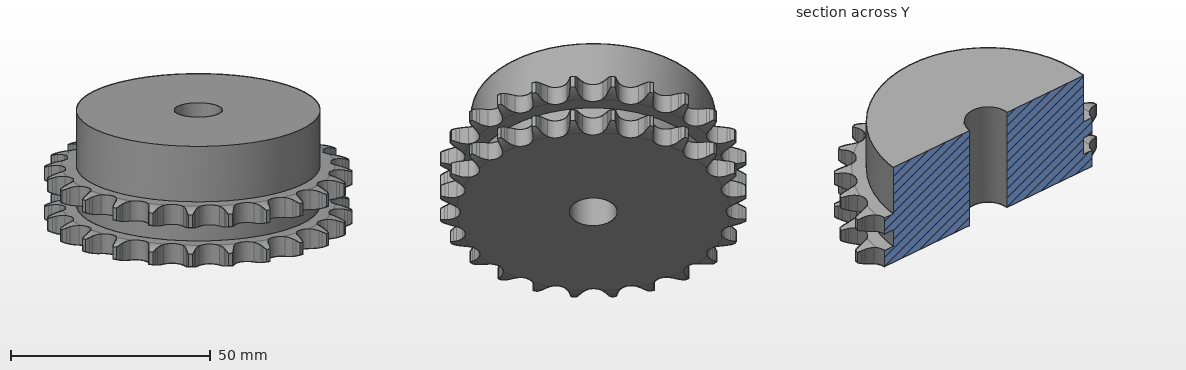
import cadquery as cq
import math


overall_width = 76.5
overall_height = 30.0
hub_diameter = 61.0
bore_diameter = 12.0

tooth_count = 24
pitch_diameter = 72.95
roller_diameter = 6.35
seat_clearance = 0.05

rim_thickness = 5.2
rim_spacing = 10.25
rim_count = 2
side_relief = 1.0
side_relief_radius = 10.0

pitch_radius = pitch_diameter / 2
pitch_angle = 2 * math.pi / tooth_count

seat_radius = roller_diameter / 2 + seat_clearance
working_offset = 0.8 * roller_diameter
topping_offset = 1.4 * roller_diameter
working_radius = seat_radius + working_offset
seat_end_angle = math.radians(35 + 60 / tooth_count)
working_arc_angle = math.radians(18 - 56 / tooth_count)
straight_angle = seat_end_angle - working_arc_angle


def polar(centre, radius, angle):
    """Point at a radius from a centre, at an angle measured counterclockwise from +X."""
    return (centre[0] + radius * math.cos(angle), centre[1] + radius * math.sin(angle))


def direction(start, end):
    """Angle of the line from start to end."""
    return math.atan2(end[1] - start[1], end[0] - start[0])


def rotate(point, angle):
    """Point turned counterclockwise about the sprocket axis."""
    return polar((0, 0), math.hypot(*point), math.atan2(point[1], point[0]) + angle)


def mirror(point):
    """Matching point on the other flank of a gap centred on +X."""
    return (point[0], -point[1])


roller_centre = (pitch_radius, 0)
seat_end_direction = math.pi / 2 + seat_end_angle
working_end_direction = math.pi / 2 + straight_angle
seat_bottom = (pitch_radius - seat_radius, 0)
seat_end = polar(roller_centre, seat_radius, seat_end_direction)

working_centre = polar(roller_centre, -working_offset, seat_end_direction)
working_middle = polar(working_centre, working_radius, (seat_end_direction + working_end_direction) / 2)
working_end = polar(working_centre, working_radius, working_end_direction)

topping_centre = polar(roller_centre, topping_offset, math.pi / 2 + pitch_angle / 2)
topping_distance = math.dist(working_end, topping_centre)
topping_lean = direction(working_end, topping_centre) - working_end_direction
straight_length = -topping_distance * math.sin(topping_lean)
topping_radius = topping_distance * math.cos(topping_lean)
straight_end = polar(working_end, straight_length, working_end_direction - math.pi / 2)

tip_x = overall_width / 2
tip_rise = math.sqrt(topping_radius**2 - (tip_x - topping_centre[0]) ** 2)
tip_corner = (tip_x, topping_centre[1] - tip_rise)
tip_radius = math.hypot(*tip_corner)
topping_middle_direction = (
    direction(topping_centre, straight_end) + direction(topping_centre, tip_corner)
) / 2
topping_middle = polar(topping_centre, topping_radius, topping_middle_direction)
tip_middle = polar((0, 0), tip_radius, pitch_angle / 2)


def add_gap(outline, turn):
    """Extend the outline along one gap and over the next tooth tip, turned about the axis."""
    def turned(point):
        return rotate(point, turn)

    next_tip_corner = rotate(mirror(tip_corner), pitch_angle)
    return (
        outline.threePointArc(turned(mirror(topping_middle)), turned(mirror(straight_end)))
        .lineTo(*turned(mirror(working_end)))
        .threePointArc(turned(mirror(working_middle)), turned(mirror(seat_end)))
        .threePointArc(turned(seat_bottom), turned(seat_end))
        .threePointArc(turned(working_middle), turned(working_end))
        .lineTo(*turned(straight_end))
        .threePointArc(turned(topping_middle), turned(tip_corner))
        .threePointArc(turned(tip_middle), turned(next_tip_corner))
    )


def tooth_outline():
    """Closed outline of all the teeth, drawn gap by gap counterclockwise."""
    outline = cq.Workplane("XY").moveTo(*mirror(tip_corner))
    for gap in range(tooth_count):
        outline = add_gap(outline, gap * pitch_angle)
    return outline.close()


def relieved_blank():
    """Round disc whose sides curve in towards the tooth tips, tangent to its flat faces."""
    relief_sweep = math.acos(1 - side_relief / side_relief_radius)
    relief_start = tip_radius - side_relief_radius * math.sin(relief_sweep)
    lower_centre = (relief_start, side_relief_radius)
    upper_centre = (relief_start, rim_thickness - side_relief_radius)
    lower_middle = polar(lower_centre, side_relief_radius, (relief_sweep - math.pi) / 2)
    upper_middle = polar(upper_centre, side_relief_radius, (math.pi - relief_sweep) / 2)
    return (
        cq.Workplane("XZ")
        .lineTo(relief_start, 0)
        .threePointArc(lower_middle, (tip_radius, side_relief))
        .lineTo(tip_radius, rim_thickness - side_relief)
        .threePointArc(upper_middle, (relief_start, rim_thickness))
        .lineTo(0, rim_thickness)
        .close()
        .revolve(360, (0, 0, 0), (0, 1, 0))
    )


def toothed_rim():
    """One toothed disc with relieved tooth sides, standing on Z = 0."""
    return tooth_outline().extrude(rim_thickness).intersect(relieved_blank())


def hub():
    """Plain cylinder that carries the rims."""
    return cq.Workplane("XY").circle(hub_diameter / 2).extrude(overall_height)


def bore():
    """Cylinder removed along the axis, right through the hub."""
    return cq.Workplane("XY").circle(bore_diameter / 2).extrude(overall_height)


rim = toothed_rim()
body = hub()
for rim_index in range(rim_count):
    body = body.union(rim.translate((0, 0, rim_index * rim_spacing)))

result = body.cut(bore())